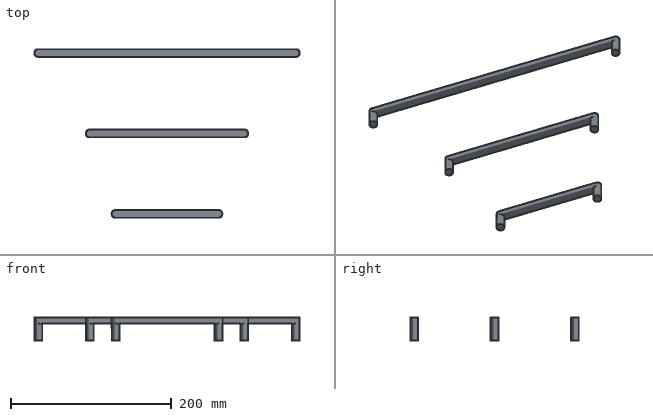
import cadquery as cq

LEG_SPACINGS = [128.0, 192.0, 320.0]
HANDLE_PITCH = 100.0

WIDTH = 10.0
HEIGHT = 29.0
BAR_HEIGHT = 8.0
EDGE_RADIUS = 0.6


def make_bar(leg_spacing):
    """Straight bar between the leg axes, with its lower long edges rounded."""
    return (
        cq.Workplane("XY")
        .workplane(offset=HEIGHT - BAR_HEIGHT)
        .rect(leg_spacing, WIDTH)
        .extrude(BAR_HEIGHT)
        .faces("<Z")
        .edges("|X")
        .fillet(EDGE_RADIUS)
    )


def make_legs(leg_spacing):
    """Two round legs of full height, which also form the round ends of the bar."""
    return (
        cq.Workplane("XY")
        .pushPoints([(-leg_spacing / 2, 0), (leg_spacing / 2, 0)])
        .circle(WIDTH / 2)
        .extrude(HEIGHT)
    )


def make_handle(leg_spacing):
    """One handle, centred on the Z axis and standing on Z = 0."""
    handle = make_bar(leg_spacing).union(make_legs(leg_spacing))
    return handle.faces(">Z").edges().fillet(EDGE_RADIUS)


handles = []
for index, leg_spacing in enumerate(LEG_SPACINGS):
    handle = make_handle(leg_spacing).translate((0, index * HANDLE_PITCH, 0))
    handles.append(handle.val())

result = cq.Compound.makeCompound(handles)